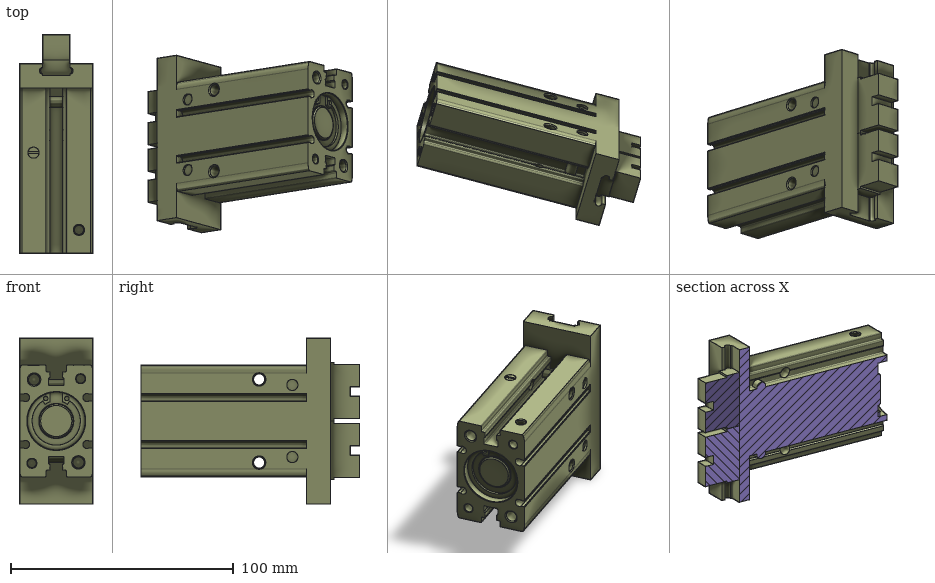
import cadquery as cq
import math


width = 33.0
body_height = 50.2
flange_height = 74.6
body_length = 74.3
flange_back = 85.2
overall_length = 98.2
half_width = width / 2
half_body = body_height / 2

crown_start = 21.6
crown_end = 24.4
crown_inset = 0.45
corner_inset = 1.05

mouth_half = 4.6
ledge_z = 22.1
neck_half = 2.85
neck_z = 19.6
cavity_half = 3.42
cavity_top_z = 19.0
slot_floor_z = 16.0
lip_radius = 0.3
ledge_radius = 0.6
floor_radius = 0.5

groove_z = 10.55
groove_width = 2.95
groove_diameter = 3.6
groove_depth = 4.5
groove_lip = 0.3

bore_diameter = 26.0
bore_chamfer = 0.25
bore_depth = 4.9
disc_diameter = 15.2
disc_root_diameter = 15.75
disc_root_height = 0.5
disc_height = 1.3
disc_chamfer = 0.6

ring_thickness = 1.2
ring_inner_diameter = 21.7
ring_gap = 5.6
ear_inner_radius = 9.05
ear_edge_angle = 33.7
ear_hole_diameter = 2.0
ear_hole_x = 4.76
ear_hole_z = 10.13

mount_x = 9.95
mount_z = 18.6
mount_diameter = 5.0
mount_mouth_diameter = 6.0
small_x = 10.95
small_z = 19.0
small_diameter = 3.95
small_mouth_diameter = 4.5
mount_depth = 12.0
small_depth = 7.0

cross_diameter = 5.0
cross_mouth_diameter = 6.0
cross_y = 53.1
cross_z = 18.7
pin_y = 68.0
pin_z = 16.2
pin_diameter = 5.0
pin_recess = 1.0

side_feature_x = 10.2
port_y = 10.5
port_diameter = 4.13
port_mouth_diameter = 5.0
port_depth = 6.0
screw_y = 45.2
screw_diameter = 5.0
screw_recess = 0.1
screw_slot_width = 0.9
screw_slot_depth = 0.6

channel_half = 6.1
channel_floor_y = 79.9
race_y = 82.0
race_radius = 1.48

finger_inner_z = 1.04
finger_outer_z = 25.4
base_outer_z = 26.3
base_front_y = 86.75
ridge_reach = 0.88
ridge_step = 1.0
notch_width = 4.13
notch_depth = 4.13


def box(x0, x1, y0, y1, z0, z1):
    return cq.Workplane("XY").box(x1 - x0, y1 - y0, z1 - z0, centered=False).translate((x0, y0, z0))


def drilled_hole(diameter, mouth_diameter, depth):
    """Cutter that starts at the origin, runs to +Z and has a 45 degree countersink."""
    countersink = (mouth_diameter - diameter) / 2
    outline = [
        (0, 0),
        (mouth_diameter / 2, 0),
        (diameter / 2, countersink),
        (diameter / 2, depth),
        (0, depth),
    ]
    return cq.Workplane("XZ").polyline(outline).close().revolve(360, (0, 0), (0, 1))


def hole_to_y(x, z, diameter, mouth_diameter, depth):
    hole = drilled_hole(diameter, mouth_diameter, depth)
    return hole.rotate((0, 0, 0), (1, 0, 0), -90).translate((x, 0, z))


def crowned_body():
    quarter = (
        cq.Workplane("XZ")
        .lineTo(half_width, 0)
        .lineTo(half_width, crown_start)
        .tangentArcPoint((half_width - crown_inset, crown_end), relative=False)
        .tangentArcPoint((half_width - corner_inset, half_body), relative=False)
        .lineTo(0, half_body)
        .close()
        .extrude(-body_length)
    )
    half = quarter.union(quarter.mirror("YZ"))
    return half.union(half.mirror("XY"))


def stepped_slot():
    """Slot in the top, open at the closed end; its rounded edges are part of the outline."""
    right = [
        (mouth_half, half_body - lip_radius),
        (mouth_half, ledge_z + ledge_radius),
        (neck_half + lip_radius, ledge_z),
        (neck_half, neck_z),
        (cavity_half, cavity_top_z),
        (cavity_half, slot_floor_z + floor_radius),
        (cavity_half - floor_radius, slot_floor_z),
    ]
    mouth, ledge_in, ledge_out, neck, cavity, floor_side, floor_end = right
    half = (
        cq.Workplane("XZ")
        .moveTo(0, half_body)
        .lineTo(mouth_half + lip_radius, half_body)
        .radiusArc(mouth, -lip_radius)
        .lineTo(*ledge_in)
        .radiusArc((mouth_half - ledge_radius, ledge_z), ledge_radius)
        .lineTo(*ledge_out)
        .radiusArc((neck_half, ledge_z - lip_radius), -lip_radius)
        .lineTo(*neck)
        .lineTo(*cavity)
        .lineTo(*floor_side)
        .radiusArc(floor_end, floor_radius)
        .lineTo(0, slot_floor_z)
        .close()
        .extrude(-body_length)
    )
    return half.union(half.mirror("YZ"))


def side_groove():
    """Keyhole-shaped groove in the +X side."""
    centre_x = half_width - groove_depth + groove_diameter / 2
    half_groove = groove_width / 2
    channel = box(centre_x, half_width, 0, body_length, -half_groove, half_groove)
    round_part = cq.Workplane("XZ").center(centre_x, 0).circle(groove_diameter / 2).extrude(-body_length)
    lip = (
        cq.Workplane("XZ")
        .polyline([
            (half_width, half_groove + groove_lip),
            (half_width - groove_lip, half_groove),
            (half_width - groove_lip, -half_groove),
            (half_width, -half_groove - groove_lip),
        ])
        .close()
        .extrude(-body_length)
    )
    return channel.union(round_part).union(lip)


def bore():
    """Countersunk recess that leaves a raised, chamfered disc on its floor."""

    def cap_disc(diameter, height):
        return cq.Workplane("XZ", origin=(0, bore_depth, 0)).circle(diameter / 2).extrude(height)

    recess = hole_to_y(0, 0, bore_diameter, bore_diameter + 2 * bore_chamfer, bore_depth)
    root = cap_disc(disc_root_diameter, disc_root_height)
    disc = cap_disc(disc_diameter, disc_height).faces("<Y").chamfer(disc_chamfer)
    return recess.cut(root).cut(disc)


def race_rods(length):
    """Round rods along Z on both side walls of the finger channel, starting at Z = 0."""
    return (
        cq.Workplane("XY")
        .pushPoints([(-channel_half, race_y), (channel_half, race_y)])
        .circle(race_radius)
        .extrude(length)
    )


def finger_channel():
    channel = box(
        -channel_half, channel_half, channel_floor_y, flange_back, -flange_height / 2, flange_height / 2
    )
    races = race_rods(flange_height).translate((0, 0, -flange_height / 2))
    return channel.union(races)


def make_housing():
    """Body and flange in one piece, with the cross pins, cap and needle screw as part of it."""
    housing = crowned_body()
    flange = box(
        -half_width, half_width, body_length, flange_back, -flange_height / 2, flange_height / 2
    )
    housing = housing.union(flange)
    slot = stepped_slot()
    housing = housing.cut(slot).cut(slot.mirror("XY"))
    groove = side_groove()
    for z in (-groove_z, groove_z):
        placed = groove.translate((0, 0, z))
        housing = housing.cut(placed).cut(placed.mirror("YZ"))
    housing = housing.cut(bore()).cut(finger_channel())

    for turn in (1, -1):
        housing = housing.cut(
            hole_to_y(-turn * mount_x, turn * mount_z, mount_diameter, mount_mouth_diameter, mount_depth)
        )
        housing = housing.cut(
            hole_to_y(turn * small_x, turn * small_z, small_diameter, small_mouth_diameter, small_depth)
        )

    cross_half = drilled_hole(cross_diameter, cross_mouth_diameter, half_width)
    cross_half = cross_half.rotate((0, 0, 0), (0, 1, 0), 90).translate((-half_width, cross_y, 0))
    cross_hole = cross_half.union(cross_half.mirror("YZ"))
    pin_hole = cq.Workplane("YZ").center(pin_y, 0).circle(pin_diameter / 2).extrude(half_width, both=True)
    pin_length = width - 2 * pin_recess
    pin_core = cq.Workplane("YZ").center(pin_y, 0).circle(pin_diameter / 2).extrude(pin_length / 2, both=True)
    for side in (1, -1):
        housing = housing.cut(cross_hole.translate((0, 0, side * cross_z)))
        housing = housing.cut(pin_hole.translate((0, 0, side * pin_z)))
        housing = housing.union(pin_core.translate((0, 0, side * pin_z)))

    port = drilled_hole(port_diameter, port_mouth_diameter, port_depth).rotate((0, 0, 0), (1, 0, 0), 180)
    housing = housing.cut(port.translate((side_feature_x, port_y, half_body)))
    screw_top = cq.Workplane("XY").circle(screw_diameter / 2).extrude(-screw_recess)
    driver_slot = (
        cq.Workplane("XY")
        .rect(screw_diameter, screw_slot_width)
        .extrude(-screw_slot_depth)
        .intersect(cq.Workplane("XY").circle(screw_diameter / 2).extrude(-screw_slot_depth))
    )
    screw_cut = screw_top.union(driver_slot)
    return housing.cut(screw_cut.translate((-side_feature_x, screw_y, half_body)))


def make_ring():
    """Open retaining ring with two pierced ears, lying on the cap floor."""
    front_y = bore_depth - ring_thickness
    reach = bore_diameter

    def disc(radius):
        return cq.Workplane("XZ", origin=(0, front_y, 0)).circle(radius).extrude(-ring_thickness)

    spread = reach * math.tan(math.radians(ear_edge_angle))
    wedge = (
        cq.Workplane("XZ", origin=(0, front_y, 0))
        .polyline([(0, 0), (spread, reach), (-spread, reach)])
        .close()
        .extrude(-ring_thickness)
    )
    outer = disc(bore_diameter / 2)
    ears = outer.cut(disc(ear_inner_radius)).intersect(wedge)
    ring = outer.cut(disc(ring_inner_diameter / 2)).union(ears)
    ring = ring.cut(box(-ring_gap / 2, ring_gap / 2, front_y, bore_depth, 0, reach))
    holes = (
        cq.Workplane("XZ", origin=(0, front_y, 0))
        .pushPoints([(-ear_hole_x, ear_hole_z), (ear_hole_x, ear_hole_z)])
        .circle(ear_hole_diameter / 2)
        .extrude(-ring_thickness)
    )
    return ring.cut(holes)


def make_finger():
    """Finger on the +Z side; its base starts at Z = 0 and its round side ridges fill the races."""
    base = (
        cq.Workplane("XY")
        .moveTo(-channel_half, channel_floor_y)
        .lineTo(channel_half, channel_floor_y)
        .lineTo(channel_half, race_y - race_radius)
        .threePointArc((channel_half + ridge_reach, race_y), (channel_half, race_y + race_radius))
        .lineTo(channel_half, base_front_y)
        .lineTo(-channel_half, base_front_y)
        .lineTo(-channel_half, race_y + race_radius)
        .threePointArc((-channel_half - ridge_reach, race_y), (-channel_half, race_y - race_radius))
        .close()
        .extrude(base_outer_z)
    )
    base = base.union(race_rods(base_outer_z - ridge_step))
    jaw = box(-channel_half, channel_half, base_front_y, overall_length, finger_inner_z, finger_outer_z)
    notch_z = (finger_inner_z + finger_outer_z) / 2
    notch = box(
        -channel_half,
        channel_half,
        overall_length - notch_depth,
        overall_length,
        notch_z - notch_width / 2,
        notch_z + notch_width / 2,
    )
    return base.union(jaw).cut(notch)


housing = make_housing()
ring = make_ring()
upper_finger = make_finger()
fingers = [upper_finger, upper_finger.mirror("XY")]
result = cq.Compound.makeCompound(
    [housing.solids().val(), ring.solids().val(), *[finger.solids().val() for finger in fingers]]
)